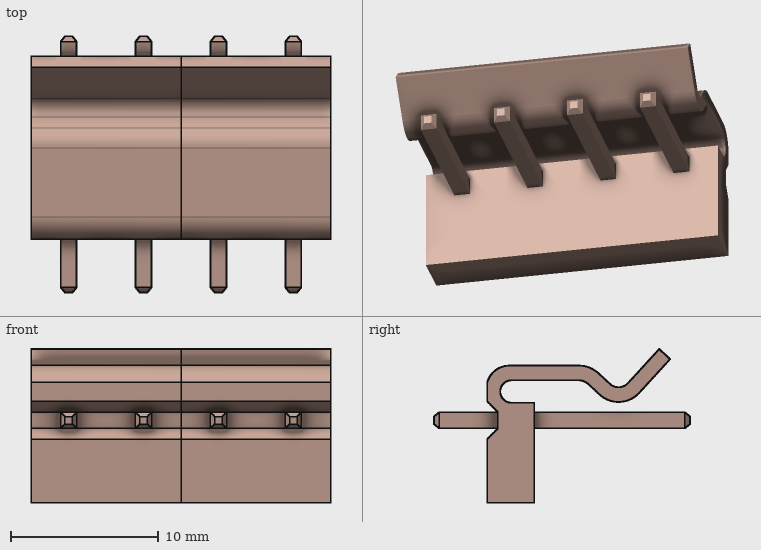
import cadquery as cq
import math

module_count = 2
pins_per_module = 2
pitch = 5.08
module_width = pins_per_module * pitch

pin_size = 1.1
pin_z = 5.6
pin_front_reach = 3.62
pin_length = 17.4
tip_length = 0.37
tip_size = 0.5

block_depth = 3.21
block_height = 6.8
groove_depth = 0.73
groove_bottom = pin_z - pin_size / 2
groove_top = pin_z + pin_size / 2

strip = 1.02
hook_inner_radius = 0.75
hook_inner_y = 1.65
hook_inner_z = block_height + hook_inner_radius
arm_top = hook_inner_z + hook_inner_radius + strip
hook_outer_radius = 1.58
hook_outer_y = 1.52
hook_outer_z = arm_top - hook_outer_radius
knee_inner_radius = 0.95
knee_outer_radius = knee_inner_radius + strip
knee_y = 6.22
knee_z = arm_top - knee_outer_radius
trough_inner_radius = 0.87
trough_outer_radius = trough_inner_radius + strip
ramp_angle = 43.0
lip_angle = 47.5
total_height = 10.45

ramp_length = 1.04


def polar(center, radius, angle):
    """Point at a radius and an angle (degrees, from +Y towards +Z) about a centre."""
    a = math.radians(angle)
    return (center[0] + radius * math.cos(a), center[1] + radius * math.sin(a))


def side_profile():
    """Closed outline of block and latch in the YZ plane."""
    hook_outer = (hook_outer_y, hook_outer_z)
    knee = (knee_y, knee_z)

    ramp_up = 90 - ramp_angle
    ramp_down = ramp_up - 180
    lip_start = lip_angle - 90

    ramp_end = polar(polar(knee, knee_outer_radius, ramp_up), ramp_length, -ramp_angle)
    trough = polar(ramp_end, trough_inner_radius, ramp_up)

    lip_inner = polar(trough, trough_inner_radius, lip_start)
    lip_outer = polar(trough, trough_outer_radius, lip_start)
    lip_length = (total_height - lip_inner[1]) / math.sin(math.radians(lip_angle))

    hook_cut = math.degrees(math.acos(-hook_outer_y / hook_outer_radius))

    return (
        cq.Workplane("YZ")
        .moveTo(0, 0)
        .lineTo(0, groove_bottom - groove_depth)
        .lineTo(groove_depth, groove_bottom)
        .lineTo(groove_depth, groove_top)
        .lineTo(0, groove_top + groove_depth)
        .lineTo(*polar(hook_outer, hook_outer_radius, hook_cut))
        .threePointArc(
            polar(hook_outer, hook_outer_radius, (hook_cut + 90) / 2),
            (hook_outer_y, arm_top),
        )
        .lineTo(knee_y, arm_top)
        .threePointArc(
            polar(knee, knee_outer_radius, (90 + ramp_up) / 2),
            polar(knee, knee_outer_radius, ramp_up),
        )
        .lineTo(*ramp_end)
        .threePointArc(polar(trough, trough_inner_radius, (ramp_down + lip_start) / 2), lip_inner)
        .lineTo(*polar(lip_inner, lip_length, lip_angle))
        .lineTo(*polar(lip_outer, lip_length, lip_angle))
        .lineTo(*lip_outer)
        .threePointArc(
            polar(trough, trough_outer_radius, (ramp_down + lip_start) / 2),
            polar(trough, trough_outer_radius, ramp_down),
        )
        .lineTo(*polar(knee, knee_inner_radius, ramp_up))
        .threePointArc(
            polar(knee, knee_inner_radius, (90 + ramp_up) / 2),
            (knee_y, knee_z + knee_inner_radius),
        )
        .lineTo(hook_inner_y, hook_inner_z + hook_inner_radius)
        .threePointArc(
            (hook_inner_y - hook_inner_radius, hook_inner_z),
            (hook_inner_y, block_height),
        )
        .lineTo(block_depth, block_height)
        .lineTo(block_depth, 0)
        .close()
    )


def make_pin(x):
    """One pin along Y, tapered at both ends, centred at the given X."""
    shaft_length = pin_length - 2 * tip_length
    shaft_start = tip_length - pin_front_reach
    pin = (
        cq.Workplane("XZ", origin=(x, shaft_start, pin_z))
        .rect(pin_size, pin_size)
        .extrude(-shaft_length)
    )
    front_tip = (
        cq.Workplane("XZ", origin=(x, shaft_start, pin_z))
        .rect(pin_size, pin_size)
        .workplane(offset=tip_length)
        .rect(tip_size, tip_size)
        .loft()
    )
    rear_tip = front_tip.mirror("XZ", (0, shaft_start + shaft_length / 2, 0))
    return pin.union(front_tip).union(rear_tip)


def make_module(center_x):
    """Block, latch and pins of one module as a single solid."""
    left = center_x - module_width / 2
    module = side_profile().extrude(module_width).translate((left, 0, 0))
    for i in range(pins_per_module):
        module = module.union(make_pin(left + (i + 0.5) * pitch))
    return module


modules = []
for n in range(module_count):
    center_x = (n - (module_count - 1) / 2) * module_width
    modules.append(make_module(center_x).val())

result = cq.Compound.makeCompound(modules)